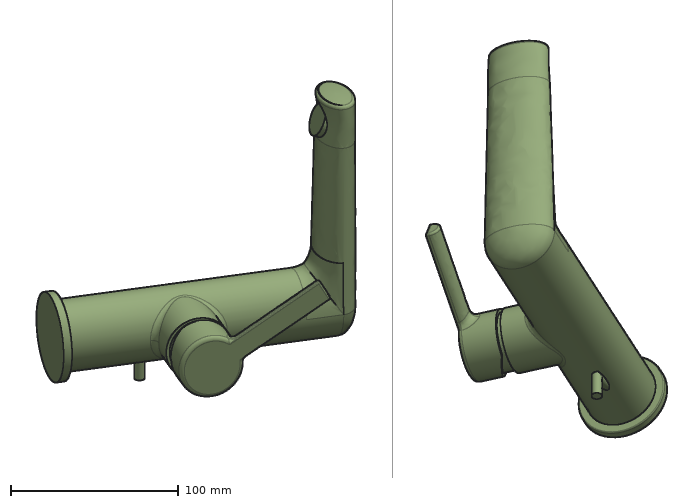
import cadquery as cq
import math

body_radius = 22.1
flange_radius = 27.5
flange_thickness = 5.5
flange_edge_radius = 0.7

back_y = 190.0
spout_top_z = 136.25
spout_dome_height = 0.91
spout_rim_radius = 2.0
spout_half_width_top = 18.8
spout_depth_base = 25.6
spout_neck_z = 109.0
spout_neck_depths = [22.9, 21.8, 21.0, 21.4, 22.6]

corner_depth = spout_depth_base / 2
corner_y = back_y - corner_depth
blend_height = 33.7
blend_depth = 24.6
blend_radius = blend_height - body_radius
blend_start_y = back_y - blend_depth - blend_radius
blend_root_depth = 3.0
blend_fan_steps = 4

outlet_radius = 10.4
outlet_z = 120.9
outlet_y = 167.7
outlet_tilt = 23.0
outlet_length = 8.0

hub_y = 80.0
hub_radius = 20.1
hub_end_x = 41.5
hub_blend_radius = 4.0
neck_radius = 18.0
cap_start_x = 44.5
cap_end_x = 69.1
cap_edge_radius = 2.6
cap_relief_angle = 20.8

lever_angle = 30.0
lever_reach = 82.4
lever_width = 14.0
lever_thickness = 8.1
lever_curve_depth = 6.0
lever_edge_radius = 0.6
lever_tip_radius = 1.5
lever_root_radius = 5.0

rod_radius = 3.2
rod_x = -4.1
rod_y = 57.4
rod_bottom_z = -37.25
rod_bend_z = -23.4
rod_slope = 16.7
rod_slope_length = 36.0


def spout_half_width(z):
    """Half width of the spout, tapering evenly from the body axis to the top."""
    return body_radius + (spout_half_width_top - body_radius) * z / spout_top_z


def make_body():
    flange = cq.Workplane("XZ").circle(flange_radius).extrude(-flange_thickness)
    flange = flange.faces(">Y").edges().fillet(flange_edge_radius)
    tube = cq.Workplane("XZ").circle(body_radius).extrude(-blend_start_y)
    trough = (
        cq.Workplane("XZ", origin=(0, blend_start_y, 0))
        .moveTo(body_radius, 0)
        .threePointArc((0, -body_radius), (-body_radius, 0))
        .close()
        .extrude(blend_start_y - corner_y)
    )
    return flange.union(tube).union(trough)


def make_outer_corner():
    """Quarter ellipsoid that closes the body below the spout."""
    profile = (
        cq.Workplane("XY")
        .moveTo(0, corner_y)
        .lineTo(body_radius, corner_y)
        .ellipseArc(body_radius, corner_depth, 0, 90, startAtCurrent=True)
        .close()
    )
    return profile.revolve(180, (0, 0, 0), (0, 1, 0))


def spout_section(z, depth):
    """Oval outline of the spout at height z, with its rear edge on the flat back line."""
    return cq.Wire.makeEllipse(
        spout_half_width(z),
        depth / 2,
        cq.Vector(0, back_y - depth / 2, z),
        cq.Vector(0, 0, 1),
        cq.Vector(1, 0, 0),
    )


def make_spout():
    step = (spout_top_z - spout_neck_z) / (len(spout_neck_depths) - 1)
    neck_sections = [
        spout_section(spout_neck_z + i * step, depth)
        for i, depth in enumerate(spout_neck_depths)
    ]
    base_section = spout_section(0, spout_depth_base)
    column = cq.Workplane(cq.Solid.makeLoft([base_section, neck_sections[0]], True))
    column = column.union(cq.Workplane(cq.Solid.makeLoft(neck_sections)))
    column = column.faces(">Z").edges().fillet(spout_rim_radius)
    elbow_space = cq.Workplane("XY").box(
        2 * flange_radius, corner_y, blend_height, centered=(True, False, False)
    )
    return column.cut(elbow_space)


def make_spout_dome():
    """Shallow dome on the oval top, made by squashing a spherical cap along Y."""
    half_depth = spout_neck_depths[-1] / 2
    half_width = spout_half_width_top - spout_rim_radius
    squash = (half_depth - spout_rim_radius) / half_width
    dome_radius = (half_width**2 + spout_dome_height**2) / (2 * spout_dome_height)
    mid_angle = math.asin(half_width / dome_radius) / 2
    mid_drop = dome_radius * (1 - math.cos(mid_angle))
    cap = (
        cq.Workplane("XZ")
        .lineTo(half_width, 0)
        .threePointArc(
            (dome_radius * math.sin(mid_angle), spout_dome_height - mid_drop),
            (0, spout_dome_height),
        )
        .close()
        .revolve(360, (0, 0, 0), (0, 1, 0))
    )
    squash_matrix = cq.Matrix([[1, 0, 0, 0], [0, squash, 0, 0], [0, 0, 1, 0]])
    dome = cap.val().transformGeometry(squash_matrix)
    return cq.Workplane(dome.translate(cq.Vector(0, back_y - half_depth, spout_top_z)))


def make_inner_blend():
    """Web inside the elbow: half ovals fanned about the centre line of the inner bend."""
    reach_back = corner_y - blend_start_y
    corner_angle = math.degrees(math.atan2(blend_height, reach_back))

    def section(angle):
        a = math.radians(angle)
        if angle <= corner_angle:
            reach = reach_back / math.cos(a)
        else:
            reach = blend_height / math.sin(a)
        centre_y = blend_start_y + reach * math.cos(a)
        centre_z = blend_height - reach * math.sin(a)
        plane = cq.Plane((0, centre_y, centre_z), (1, 0, 0), (0, math.sin(a), math.cos(a)))
        half_width = spout_half_width(centre_z)
        oval = cq.Workplane(plane).ellipseArc(
            half_width, reach - blend_radius, 180, 360, startAtCurrent=False
        )
        root_half_width = half_width - blend_root_depth
        oval = oval.lineTo(root_half_width, blend_root_depth)
        return oval.lineTo(-root_half_width, blend_root_depth).close().val()

    def fan(start, end):
        step = (end - start) / blend_fan_steps
        angles = [start + i * step for i in range(blend_fan_steps + 1)]
        return cq.Workplane(cq.Solid.makeLoft([section(a) for a in angles]))

    return fan(0, corner_angle).union(fan(corner_angle, 90))


def outlet_cylinder(direction):
    """Cylinder from the outlet face, outward (+1) or into the spout (-1)."""
    tilt = math.radians(outlet_tilt)
    normal = cq.Vector(0, -math.cos(tilt), math.sin(tilt)) * direction
    face_centre = cq.Vector(0, outlet_y, outlet_z)
    return cq.Workplane(cq.Solid.makeCylinder(outlet_radius, outlet_length, face_centre, normal))


def make_hub():
    return cq.Workplane("YZ").center(hub_y, 0).circle(hub_radius).extrude(hub_end_x)


def make_neck():
    neck = cq.Workplane("YZ").workplane(offset=hub_end_x).center(hub_y, 0)
    return neck.circle(neck_radius).extrude((cap_start_x + cap_end_x) / 2 - hub_end_x)


def make_cap():
    """Handle cap on the X axis with its lever along +Y, before it is turned to its angle."""
    cap = cq.Workplane("YZ").workplane(offset=cap_start_x).circle(hub_radius)
    cap = cap.extrude(cap_end_x - cap_start_x)
    cap = cap.faces(">X").edges().fillet(cap_edge_radius)
    relief = (
        cq.Workplane("XY")
        .moveTo(cap_start_x, 0)
        .lineTo(cap_start_x, -hub_radius)
        .lineTo(cap_start_x + hub_radius * math.tan(math.radians(cap_relief_angle)), -hub_radius)
        .close()
        .extrude(hub_radius, both=True)
    )
    return cap.cut(relief)


def make_lever():
    """Bar along +Y: flat on the outer side and rounded on the inner side."""
    half_width = lever_width / 2
    inner_x = cap_end_x - lever_thickness
    side_x = inner_x + lever_curve_depth
    bar = (
        cq.Workplane("XZ")
        .moveTo(cap_end_x, -half_width)
        .lineTo(cap_end_x, half_width)
        .lineTo(side_x, half_width)
        .ellipseArc(lever_curve_depth, half_width, 90, 270, startAtCurrent=True)
        .close()
        .extrude(-lever_reach)
    )
    bar = bar.faces(">X").edges("|Y").fillet(lever_edge_radius)
    return bar.faces(">Y").edges().fillet(lever_tip_radius)


def make_handle():
    handle = make_cap().union(make_lever())
    near_root = cq.selectors.BoxSelector(
        (cap_start_x, hub_radius - lever_root_radius, -lever_width),
        (cap_end_x, hub_radius + lever_root_radius, lever_width),
        boundingbox=True,
    )
    handle = handle.edges(near_root).fillet(lever_root_radius)
    return handle.rotate((0, 0, 0), (1, 0, 0), lever_angle).translate((0, hub_y, 0))


def make_rod():
    slope = math.radians(rod_slope)
    path = (
        cq.Workplane("YZ", origin=(rod_x, 0, 0))
        .moveTo(rod_y, rod_bottom_z)
        .lineTo(rod_y, rod_bend_z)
        .lineTo(
            rod_y - rod_slope_length * math.cos(slope),
            rod_bend_z + rod_slope_length * math.sin(slope),
        )
    )
    section = cq.Workplane("XY", origin=(rod_x, rod_y, rod_bottom_z)).circle(rod_radius)
    return section.sweep(path, transition="right")


body = make_body().union(make_hub())
near_junction = cq.selectors.BoxSelector(
    (0, hub_y - body_radius, -body_radius),
    (flange_radius, hub_y + body_radius, body_radius),
    boundingbox=True,
)
body = body.edges(near_junction).fillet(hub_blend_radius)

spout = make_spout().union(make_spout_dome())
spout = spout.cut(outlet_cylinder(1)).union(outlet_cylinder(-1))

result = (
    body.union(make_outer_corner())
    .union(spout)
    .union(make_inner_blend())
    .union(make_neck())
    .union(make_handle())
    .union(make_rod())
)